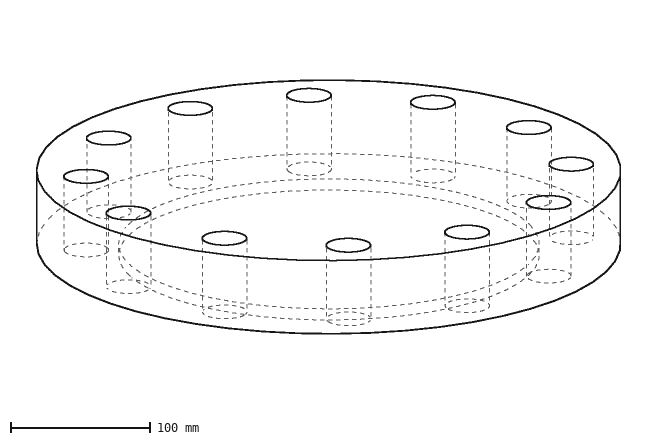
import cadquery as cq

flange_diameter = 419.0
total_height = 63.5
raised_face_diameter = 301.5
raised_face_height = 8.5
plate_thickness = total_height - raised_face_height

bolt_count = 12
bolt_circle_diameter = 349.0
bolt_hole_diameter = 32.0


def make_raised_face():
    """Disc from the bottom of the part up to the underside of the plate."""
    return cq.Workplane("XY").circle(raised_face_diameter / 2).extrude(raised_face_height)


def make_plate():
    """Full-diameter plate sitting on the raised face."""
    return (
        cq.Workplane("XY")
        .workplane(offset=raised_face_height)
        .circle(flange_diameter / 2)
        .extrude(plate_thickness)
    )


def drill_bolt_holes(body):
    """Through holes evenly spaced on the bolt circle, the first one on +X."""
    return (
        body.faces(">Z")
        .workplane(origin=(0, 0, total_height))
        .polarArray(bolt_circle_diameter / 2, 0, 360, bolt_count)
        .hole(bolt_hole_diameter)
    )


result = drill_bolt_holes(make_plate().union(make_raised_face()))